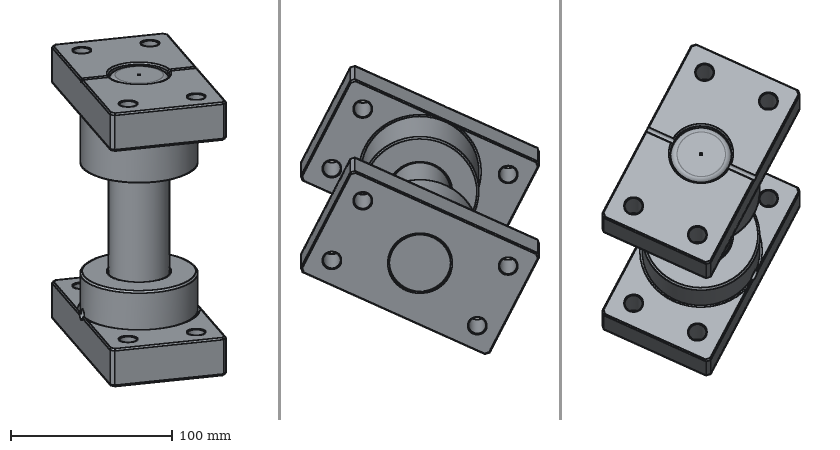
import cadquery as cq
TOTAL_HEIGHT = 180.5

PLATE_LENGTH = 130.0
PLATE_DEPTH = 75.0
PLATE_HEIGHT = 25.1
CORNER_CHAMFER = 2.2
RIM_INSET = 0.7
RIM_HEIGHT = 1.3

HOLE_SPACING_X = 100.0
HOLE_SPACING_Y = 44.0
HOLE_RADIUS = 5.5
HOLE_CHAMFER = 0.5

BOSS_RADIUS = 36.5
BOSS_CHAMFER_INSET = 1.3
LOWER_BOSS_HEIGHT = 25.0
LOWER_BOSS_CHAMFER_HEIGHT = 1.3
UPPER_BOSS_HEIGHT = 34.3
UPPER_BOSS_CHAMFER_HEIGHT = 0.7

RELIEF_WIDTH = 1.5
RELIEF_DEPTH = 0.5

PILLAR_RADIUS = 19.0
PILLAR_TOP_RECESS = 0.9
PILLAR_TOP_FILLET = 4.0
CENTRE_HOLE_RADIUS = 0.9
CENTRE_HOLE_DEPTH = 1.8
BORE_CHAMFER = 1.0

PORT_RADIUS = 3.5
VENT_RADIUS = 1.6
VENT_DEPTH = 2.0


def frustum(bottom_radius, top_radius, bottom, top):
    """Solid of revolution about Z with straight, possibly sloping, sides."""
    profile = [(0, bottom), (bottom_radius, bottom), (top_radius, top), (0, top)]
    return cq.Workplane("XZ").polyline(profile).close().revolve(360, (0, 0), (0, 1))


def plate_outline(inset, height):
    """Corner-chamfered plate, shrunk all round by inset."""
    return (
        cq.Workplane("XY")
        .rect(PLATE_LENGTH - 2 * inset, PLATE_DEPTH - 2 * inset)
        .extrude(height)
        .edges("|Z")
        .chamfer(CORNER_CHAMFER)
    )


def rim(bottom_inset, top_inset, bottom):
    """Sloping layer of the plate that forms a chamfered rim."""
    lower = plate_outline(bottom_inset, 1.8).faces("<Z").wires().val()
    upper = plate_outline(top_inset, 1.8).faces("<Z").wires().val()
    wires = [lower.translate((0, 0, bottom)), upper.translate((0, 0, bottom + RIM_HEIGHT))]
    return cq.Workplane(cq.Solid.makeLoft(wires, True))


def plate():
    """Plain plate standing on Z = 0 with chamfered corners and rims."""
    middle = plate_outline(0, PLATE_HEIGHT - 2 * RIM_HEIGHT).translate((0, 0, RIM_HEIGHT))
    bottom_rim = rim(RIM_INSET, 0, 0)
    top_rim = rim(0, RIM_INSET, PLATE_HEIGHT - RIM_HEIGHT)
    return middle.union(bottom_rim).union(top_rim)


def bolt_holes():
    """Cutters for the four through holes, countersunk at both faces."""
    hole = frustum(HOLE_RADIUS, HOLE_RADIUS, 0, PLATE_HEIGHT)
    mouth = HOLE_RADIUS + HOLE_CHAMFER
    hole = hole.union(frustum(mouth, HOLE_RADIUS, 0, HOLE_CHAMFER))
    hole = hole.union(frustum(HOLE_RADIUS, mouth, PLATE_HEIGHT - HOLE_CHAMFER, PLATE_HEIGHT))
    centres = cq.Workplane("XY").rect(HOLE_SPACING_X, HOLE_SPACING_Y, forConstruction=True)
    return centres.vertices().eachpoint(lambda place: hole.val().moved(place))


def boss(height, chamfer_height):
    """Boss rising from the bottom of the relief, chamfered at its free end."""
    end = PLATE_HEIGHT + height
    straight = frustum(BOSS_RADIUS, BOSS_RADIUS, PLATE_HEIGHT - RELIEF_DEPTH, end - chamfer_height)
    return straight.union(
        frustum(BOSS_RADIUS, BOSS_RADIUS - BOSS_CHAMFER_INSET, end - chamfer_height, end)
    )


def bore(length):
    """Cutter for the pillar bore, chamfered at both ends."""
    mouth = PILLAR_RADIUS + BORE_CHAMFER
    cutter = frustum(PILLAR_RADIUS, PILLAR_RADIUS, 0, length)
    cutter = cutter.union(frustum(mouth, PILLAR_RADIUS, 0, BORE_CHAMFER))
    return cutter.union(frustum(PILLAR_RADIUS, mouth, length - BORE_CHAMFER, length))


def block(boss_height, boss_chamfer_height):
    """Plate with bolt holes, relief, boss and bore; the boss points up."""
    relief_radius = BOSS_RADIUS + RELIEF_WIDTH
    relief = frustum(BOSS_RADIUS, relief_radius, PLATE_HEIGHT - RELIEF_DEPTH, PLATE_HEIGHT)
    return (
        plate()
        .cut(bolt_holes())
        .cut(relief)
        .union(boss(boss_height, boss_chamfer_height))
        .cut(bore(PLATE_HEIGHT + boss_height))
    )


def make_lower_block():
    """Lower block with a port from the -Y side to the bore, level with the plate top."""
    port = (
        cq.Workplane("XZ")
        .center(0, PLATE_HEIGHT)
        .circle(PORT_RADIUS)
        .extrude(PLATE_DEPTH / 2)
    )
    return block(LOWER_BOSS_HEIGHT, LOWER_BOSS_CHAMFER_HEIGHT).cut(port)


def make_upper_block():
    """Upper block with its boss pointing down and a round vent groove across its top."""
    body = block(UPPER_BOSS_HEIGHT, UPPER_BOSS_CHAMFER_HEIGHT)
    body = body.rotate((0, 0, 0), (1, 0, 0), 180).translate((0, 0, TOTAL_HEIGHT))
    vent = (
        cq.Workplane("XZ")
        .center(0, TOTAL_HEIGHT - VENT_DEPTH + VENT_RADIUS)
        .circle(VENT_RADIUS)
        .extrude(PLATE_DEPTH / 2, both=True)
    )
    return body.cut(vent)


def make_pillar():
    """Pillar flush with the lower block, rounded and centre-drilled at its top end."""
    length = TOTAL_HEIGHT - PILLAR_TOP_RECESS
    return (
        cq.Workplane("XY")
        .circle(PILLAR_RADIUS)
        .extrude(length)
        .faces(">Z")
        .edges()
        .fillet(PILLAR_TOP_FILLET)
        .cut(frustum(CENTRE_HOLE_RADIUS, CENTRE_HOLE_RADIUS, length - CENTRE_HOLE_DEPTH, length))
    )


lower_block = make_lower_block()
upper_block = make_upper_block()
pillar = make_pillar()

result = cq.Compound.makeCompound(
    [*lower_block.solids().vals(), *upper_block.solids().vals(), *pillar.solids().vals()]
)